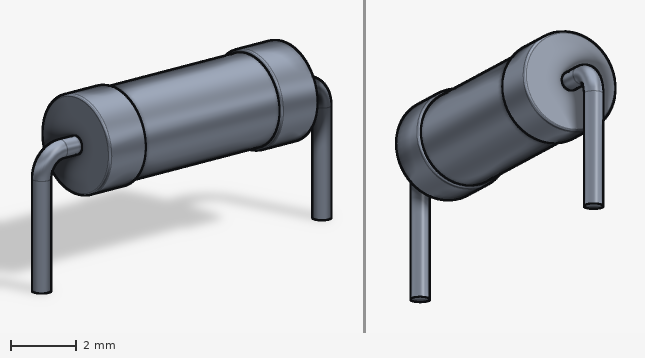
import cadquery as cq

overall_length = 12.03
lead_diameter = 0.6
lead_bend_radius = 0.79
lead_drop = 4.4

cap_diameter = 3.2
cap_length = 1.5
cap_edge_radius = 0.07
body_diameter = 3.0
body_length = 8.5
body_offset = -0.07

body_front = body_offset - body_length / 2
body_back = body_offset + body_length / 2
lead_half_pitch = (overall_length - lead_diameter) / 2


def cylinder_along_y(diameter, start, length):
    """Cylinder on the Y axis, running from start toward +Y."""
    plane = cq.Plane(origin=(0, start, 0), xDir=(1, 0, 0), normal=(0, 1, 0))
    return cq.Workplane(plane).circle(diameter / 2).extrude(length)


def end_cap(start):
    """End cap with both rims rounded."""
    return cylinder_along_y(cap_diameter, start, cap_length).edges().fillet(cap_edge_radius)


def lead_wire():
    """One wire through the body with both ends bent down."""
    straight_end = lead_half_pitch - lead_bend_radius
    path = (
        cq.Workplane("YZ")
        .moveTo(-lead_half_pitch, -lead_drop)
        .lineTo(-lead_half_pitch, -lead_bend_radius)
        .tangentArcPoint((-straight_end, 0), relative=False)
        .lineTo(straight_end, 0)
        .tangentArcPoint((lead_half_pitch, -lead_bend_radius), relative=False)
        .lineTo(lead_half_pitch, -lead_drop)
    )
    tip = cq.Workplane("XY", origin=(0, -lead_half_pitch, -lead_drop))
    return tip.circle(lead_diameter / 2).sweep(path)


core = cylinder_along_y(body_diameter, body_front + cap_length / 2, body_length - cap_length)

result = (
    core
    .union(end_cap(body_front))
    .union(end_cap(body_back - cap_length))
    .union(lead_wire())
)